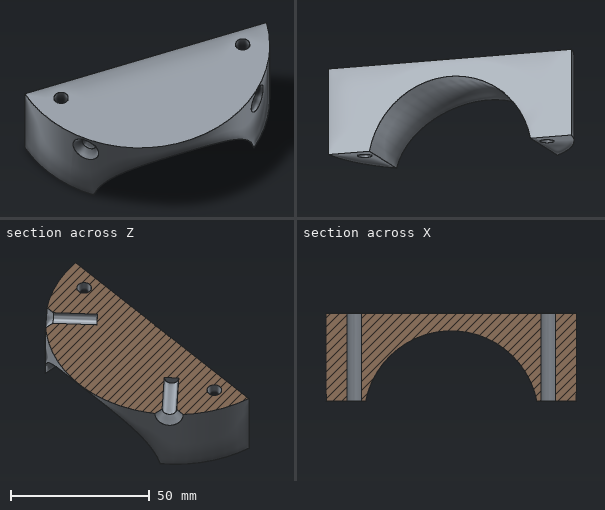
import cadquery as cq
import math

width = 93.1
height = 31.8
crown_depth = 40.6
wall_radius = ((width / 2) ** 2 + crown_depth**2) / (2 * crown_depth)

arch_radius = 31.4
arch_crown_drop = 6.4

hole_diameter = 5.1
hole_x = 6.4
hole_spacing = 69.9

screw_x = 26.9
screw_drop = 6.3
screw_angle = 45.0
sink_diameter = 10.7
sink_depth = (sink_diameter - hole_diameter) / 2
screw_depth = 18.6
cutter_lead = 1.9


def make_block():
    half = width / 2
    return (
        cq.Workplane("XY")
        .moveTo(0, -half)
        .threePointArc((crown_depth, 0), (0, half))
        .close()
        .extrude(-height)
    )


def make_arch():
    return (
        cq.Workplane("YZ")
        .center(0, -arch_crown_drop - arch_radius)
        .circle(arch_radius)
        .extrude(width)
    )


def make_vertical_holes():
    return (
        cq.Workplane("XY")
        .pushPoints([(hole_x, -hole_spacing / 2), (hole_x, hole_spacing / 2)])
        .circle(hole_diameter / 2)
        .extrude(-height)
    )


def wall_y(x):
    """Half-width of the block at a given x."""
    wall_center_x = crown_depth - wall_radius
    return math.sqrt(wall_radius**2 - (x - wall_center_x) ** 2)


def make_screw_hole(side):
    """Countersunk hole nearly square to the wall; side is -1 or 1 along Y."""
    angle = math.radians(screw_angle)
    mouth = cq.Vector(screw_x, side * wall_y(screw_x), -screw_drop)
    inward = cq.Vector(-math.sin(angle), -side * math.cos(angle), 0)
    start = mouth - inward * cutter_lead
    bore = cq.Solid.makeCylinder(hole_diameter / 2, screw_depth + cutter_lead, start, inward)
    sink = cq.Solid.makeCone(
        sink_diameter / 2 + cutter_lead,
        hole_diameter / 2,
        sink_depth + cutter_lead,
        start,
        inward,
    )
    return bore.fuse(sink)


result = make_block().cut(make_arch()).cut(make_vertical_holes())
for side in (-1, 1):
    result = result.cut(cq.Workplane(make_screw_hole(side)))